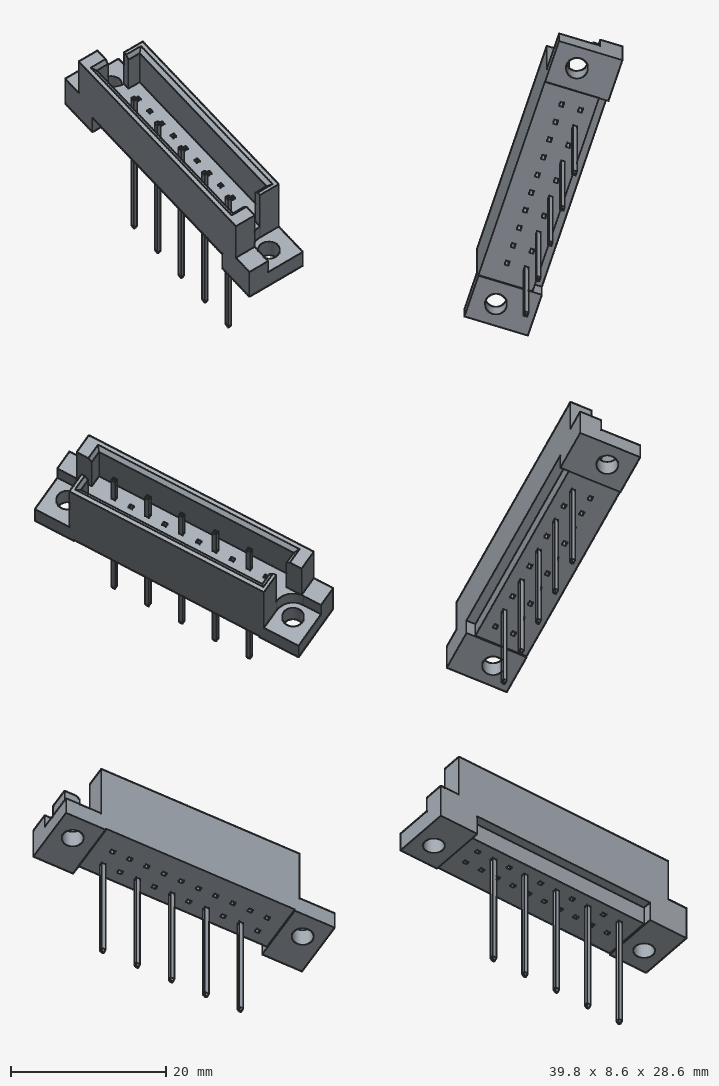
import cadquery as cq
import math

LENGTH = 39.8
DEPTH = 8.6
HEIGHT = 11.62
BACK = DEPTH / 2
FRONT = -BACK

PITCH = 2.55
COLUMNS = 10
GRID_CENTRE_X = -0.15
ROW_Y = PITCH / 2

PIN_WIDTH = 0.6
PIN_DEPTH = 0.5
PIN_TOP = 9.87
PIN_BOTTOM = -17.0
TOP_TIP_HEIGHT = 0.28
BOTTOM_TIP_HEIGHT = 0.48
TIP_INSET = 0.15

FLOOR_Z = 5.15
FRONT_WIDTH = 33.95
BACK_WIDTH = 29.37
LONG_WALL = 1.25
SHORT_WALL_BACK = 1.0
FRONT_CAVITY_WIDTH = BACK_WIDTH
BACK_CAVITY_WIDTH = BACK_WIDTH - 2 * SHORT_WALL_BACK
BEVEL_X = 0.5
BEVEL_Y = 0.6
BEVEL_HEIGHT = 0.5

EAR_Z = 2.85
HOLE_X = 17.05
HOLE_Y = 0.95
HOLE_DIAMETER = 2.83
POCKET_RADIUS = PITCH

RELIEF_WIDTH = 27.98
RELIEF_RISE = 0.25
NOTCH_TOP = 3.0
NOTCH_DEPTH = 1.27


def centred_block(width, y0, y1, z0, z1):
    """Box that is symmetric about X = 0."""
    corner = (-width / 2, y0, z0)
    return cq.Workplane("XY").box(width, y1 - y0, z1 - z0, centered=False).translate(corner)


def cavity_half(width, wall_y, open_y):
    """Half of the shroud cavity, from its long wall to its open side, with a bevelled mouth."""
    reach = abs(wall_y - open_y)
    rim_y = wall_y + math.copysign(BEVEL_Y, wall_y)
    straight = centred_block(width, min(wall_y, open_y), max(wall_y, open_y), FLOOR_Z, HEIGHT)
    mirrored_bevel = (
        cq.Workplane("XY", origin=(0, open_y, HEIGHT - BEVEL_HEIGHT))
        .rect(width, 2 * reach)
        .workplane(offset=BEVEL_HEIGHT)
        .rect(width + 2 * BEVEL_X, 2 * (reach + BEVEL_Y))
        .loft(ruled=True)
    )
    walled_half = centred_block(FRONT_WIDTH, min(rim_y, open_y), max(rim_y, open_y), FLOOR_Z, HEIGHT)
    return straight.union(mirrored_bevel.intersect(walled_half))


def ear_pocket(side):
    """Lowered area of one ear, with a quarter-round inner corner between the two shroud arms."""
    end_x = side * LENGTH / 2
    inner_x = side * BACK_WIDTH / 2
    round_centre_x = inner_x + side * POCKET_RADIUS
    arc_middle = (
        round_centre_x - side * POCKET_RADIUS * math.cos(math.pi / 4),
        ROW_Y - POCKET_RADIUS * math.sin(math.pi / 4),
    )
    return (
        cq.Workplane("XY", origin=(0, 0, EAR_Z))
        .moveTo(end_x, -ROW_Y)
        .lineTo(round_centre_x, -ROW_Y)
        .threePointArc(arc_middle, (inner_x, ROW_Y))
        .lineTo(inner_x, BACK)
        .lineTo(end_x, BACK)
        .close()
        .extrude(HEIGHT - EAR_Z)
    )


def column_x(column):
    """X position of a contact column, counted from the left."""
    return GRID_CENTRE_X + (column - (COLUMNS - 1) / 2) * PITCH


def make_housing():
    """Shrouded connector body with ears and contact holes."""
    body = centred_block(LENGTH, FRONT, BACK, 0, FLOOR_Z)
    body = body.union(centred_block(FRONT_WIDTH, FRONT, -ROW_Y, FLOOR_Z, HEIGHT))
    body = body.union(centred_block(BACK_WIDTH, ROW_Y, BACK, FLOOR_Z, HEIGHT))

    body = body.cut(cavity_half(FRONT_CAVITY_WIDTH, FRONT + LONG_WALL, -ROW_Y))
    body = body.cut(cavity_half(BACK_CAVITY_WIDTH, BACK - LONG_WALL, ROW_Y))

    for side in (-1, 1):
        body = body.cut(ear_pocket(side))
    mounting_holes = (
        cq.Workplane("XY")
        .pushPoints([(-HOLE_X, HOLE_Y), (HOLE_X, HOLE_Y)])
        .circle(HOLE_DIAMETER / 2)
        .extrude(EAR_Z)
    )
    body = body.cut(mounting_holes)

    body = body.cut(centred_block(RELIEF_WIDTH, FRONT, BACK, 0, RELIEF_RISE))
    body = body.cut(centred_block(RELIEF_WIDTH, FRONT, FRONT + NOTCH_DEPTH, 0, NOTCH_TOP))

    places = [(column_x(column), y) for column in range(COLUMNS) for y in (-ROW_Y, ROW_Y)]
    contact_holes = cq.Workplane("XY").pushPoints(places).rect(PIN_WIDTH, PIN_DEPTH).extrude(FLOOR_Z)
    return body.cut(contact_holes)


def pin_tip(base_z, height):
    """Tapered pin end; a negative height points it downwards."""
    return (
        cq.Workplane("XY", origin=(0, 0, base_z))
        .rect(PIN_WIDTH, PIN_DEPTH)
        .workplane(offset=height)
        .rect(PIN_WIDTH - 2 * TIP_INSET, PIN_DEPTH - 2 * TIP_INSET)
        .loft(ruled=True)
    )


def make_pin(x):
    """Straight rectangular contact in the front row with both ends tapered."""
    shank_bottom = PIN_BOTTOM + BOTTOM_TIP_HEIGHT
    shank_top = PIN_TOP - TOP_TIP_HEIGHT
    shank = (
        cq.Workplane("XY", origin=(0, 0, shank_bottom))
        .rect(PIN_WIDTH, PIN_DEPTH)
        .extrude(shank_top - shank_bottom)
    )
    top_tip = pin_tip(shank_top, TOP_TIP_HEIGHT)
    bottom_tip = pin_tip(shank_bottom, -BOTTOM_TIP_HEIGHT)
    pin = shank.union(top_tip).union(bottom_tip)
    return pin.translate((x, -ROW_Y, 0))


housing = make_housing()
pins = [make_pin(column_x(column)) for column in range(1, COLUMNS, 2)]

result = cq.Compound.makeCompound([housing.val(), *[pin.val() for pin in pins]])